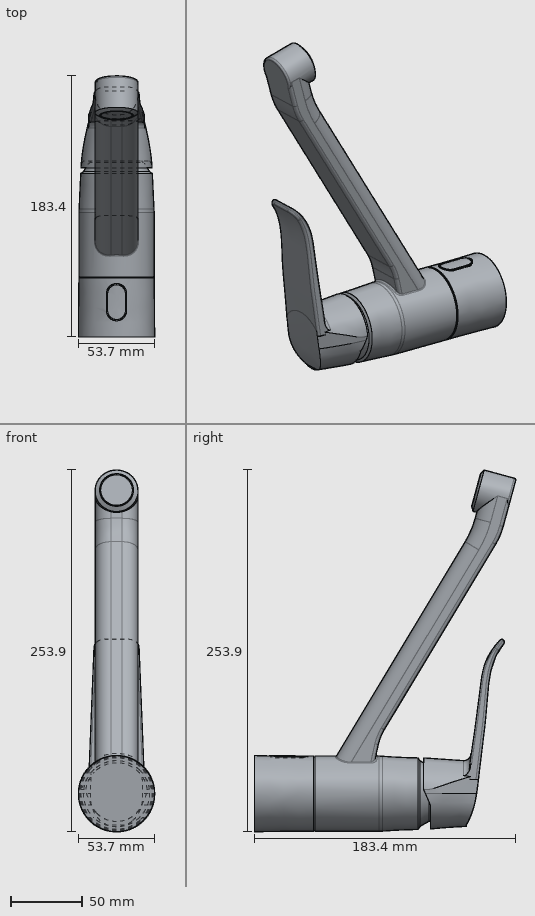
import cadquery as cq
import math


CLEARANCE = 1.0

FRONT_RADIUS = 26.86
BARREL_RADIUS = 26.5
JOINT_Y = 42.0
JOINT_WIDTH = 0.8
JOINT_DEPTH = 0.6
BARREL_END_Y = 87.5
BAND_END_Y = 90.0
BAND_END_RADIUS = 26.35
SHOULDER_Y = 114.9
SHOULDER_RADIUS = 25.2
NECK_START_Y = 116.2
NECK_START_RADIUS = 23.2
NECK_END_Y = 122.5
NECK_END_RADIUS = 19.5
CORE_END_Y = 135.0

BUTTON_Y = 24.6
BUTTON_LENGTH = 26.2
BUTTON_WIDTH = 14.2
BUTTON_GROOVE = 0.9
BUTTON_GROOVE_DEPTH = 0.6

SPOUT_WIDTH = 30.2
SPOUT_LEAN = 31.0
SPOUT_FRONT_RADIUS = 11.2
SPOUT_BACK_RADIUS = 2.5
SPOUT_ROOT_Z = 12.0
SPOUT_ROOT_BACK_Y = 82.0
ROOT_BEND_Z = 40.0
BACK_BEND_DROP = 26.6
FRONT_BEND_DROP = 28.3
FRONT_BEND_INSET = 2.7
BACK_BEND_RADIUS = 50.0
FRONT_BEND_RADIUS = 65.0
ROOT_BEND_RADIUS = 35.0
ROOT_FILLET = 1.0
ROOT_SEAM_LOW_Z = 20.0
HEAD_TILT = 15.2
HEAD_RADIUS = 15.1
HEAD_LENGTH = 23.3
HEAD_FRONT_Y = 157.3
HEAD_FRONT_Z = 212.5
HEAD_BACK_ROUND = 1.5
OUTLET_RIM_RADIUS = 11.9
OUTLET_RADIUS = 11.1
OUTLET_PROJECTION = 1.9
OUTLET_RECESS = 0.4

CAP_START_Y = 118.7
CAP_START_RADIUS = 25.2
CAP_END_Y = 162.0
CAP_END_RADIUS = 22.2
CAP_HALF = CAP_START_RADIUS + CLEARANCE
CAP_SIDE = [(CAP_START_Y, 25.0), (132.0, 23.6), (147.0, 20.6), (CAP_END_Y, 16.8)]
SKIRT_Y = 123.5
SKIRT_Z = -8.0
CAP_EDGE_Z = 3.0
LEVER_ROOT_Y = 151.8
LEVER_ROOT_OVERLAP = 1.0
LEVER_ROOT_Z = 10.0
LEVER_ROOT_HALF = 19.6
LEVER_TIP_Z = 110.0
LEVER_TIP_HALF = 15.6
LEVER_CORNER = 8.0
LEVER_ROOT_FILLET = 5.0
LEVER_FRONT_ROUND = 1.2
LEVER_BACK_ROUND = 1.8
LEVER_BACK = [
    (148.8, -21.8), (154.6, -7.0), (157.5, 12.0), (159.7, 31.1), (162.3, 52.3),
    (164.2, 75.6), (169.6, 96.8), (176.2, 106.4),
]
LEVER_FRONT = [
    (173.6, 108.8), (167.2, 101.6), (161.6, 91.0), (158.3, 73.5), (154.1, 41.7), (151.5, 23.7),
    (150.0, 10.0),
]


def make_body():
    """Turned barrel with the narrow joint groove around it."""
    body = (
        cq.Workplane("XY")
        .polyline([
            (0, 0),
            (FRONT_RADIUS, 0),
            (BARREL_RADIUS, JOINT_Y),
            (BARREL_RADIUS, BARREL_END_Y),
            (BAND_END_RADIUS, BAND_END_Y),
            (SHOULDER_RADIUS, SHOULDER_Y),
            (NECK_START_RADIUS, NECK_START_Y),
            (NECK_END_RADIUS, NECK_END_Y),
            (NECK_END_RADIUS, CORE_END_Y),
            (0, CORE_END_Y),
        ])
        .close()
        .revolve(360, (0, 0), (0, 1))
    )
    joint = (
        cq.Workplane("XZ", origin=(0, JOINT_Y + JOINT_WIDTH / 2, 0))
        .circle(FRONT_RADIUS + CLEARANCE)
        .circle(BARREL_RADIUS - JOINT_DEPTH)
        .extrude(JOINT_WIDTH)
    )
    return body.cut(joint)


def make_button_groove():
    """Oval ring groove cut into the top of the front section."""
    top = FRONT_RADIUS + CLEARANCE
    centre = cq.Workplane("XY", origin=(0, BUTTON_Y, 0))
    outer = centre.slot2D(BUTTON_LENGTH, BUTTON_WIDTH, 90).extrude(top)
    inner_length = BUTTON_LENGTH - 2 * BUTTON_GROOVE
    inner_width = BUTTON_WIDTH - 2 * BUTTON_GROOVE
    inner = centre.slot2D(inner_length, inner_width, 90).extrude(top)
    core = cq.Workplane("XZ").circle(BARREL_RADIUS - BUTTON_GROOVE_DEPTH).extrude(-JOINT_Y)
    return outer.cut(inner).cut(core)


def head_point(along, up):
    """(Y, Z) of a point measured from the outlet centre, along the head axis (backwards) and across it."""
    tilt = math.radians(HEAD_TILT)
    y = HEAD_FRONT_Y + along * math.cos(tilt) + up * math.sin(tilt)
    z = HEAD_FRONT_Z - along * math.sin(tilt) + up * math.cos(tilt)
    return y, z


def make_head():
    """Outlet head: a tilted cylinder with a bevelled nose and a shallow round recess."""
    y, z = head_point(0, 0)
    tilt = math.radians(HEAD_TILT)
    outlet = cq.Plane((0, y, z), (1, 0, 0), (0, -math.cos(tilt), math.sin(tilt)))
    barrel = cq.Workplane(outlet).circle(HEAD_RADIUS).extrude(-HEAD_LENGTH)
    barrel = barrel.faces(">Y").edges().fillet(HEAD_BACK_ROUND)
    nose_angle = math.degrees(math.atan((HEAD_RADIUS - OUTLET_RIM_RADIUS) / OUTLET_PROJECTION))
    nose = cq.Workplane(outlet).circle(HEAD_RADIUS).extrude(OUTLET_PROJECTION, taper=nose_angle)
    recess = (
        cq.Workplane(outlet)
        .workplane(offset=OUTLET_PROJECTION)
        .circle(OUTLET_RADIUS)
        .extrude(-OUTLET_RECESS)
    )
    return barrel.union(nose).cut(recess)


def make_arm():
    """Leaning arm with a flat strip between rounded front corners."""
    slope = math.tan(math.radians(SPOUT_LEAN))
    back_bend = head_point(HEAD_LENGTH, -BACK_BEND_DROP)
    front_bend = head_point(FRONT_BEND_INSET, -FRONT_BEND_DROP)
    root_bend = (back_bend[0] - slope * (back_bend[1] - ROOT_BEND_Z), ROOT_BEND_Z)
    root_front = (front_bend[0] - slope * (front_bend[1] - SPOUT_ROOT_Z), SPOUT_ROOT_Z)
    arm = (
        cq.Workplane("YZ", origin=(-SPOUT_WIDTH / 2, 0, 0))
        .polyline([
            (SPOUT_ROOT_BACK_Y, SPOUT_ROOT_Z),
            root_bend,
            back_bend,
            head_point(HEAD_LENGTH, 0),
            head_point(FRONT_BEND_INSET, 0),
            front_bend,
            root_front,
        ])
        .close()
        .extrude(SPOUT_WIDTH)
    )
    bends = [
        (back_bend, BACK_BEND_RADIUS),
        (root_bend, ROOT_BEND_RADIUS),
        (front_bend, FRONT_BEND_RADIUS),
    ]
    for place, radius in bends:
        arm = arm.edges("|X").edges(cq.NearestToPointSelector((0, *place))).fillet(radius)

    straight_sides = [
        (front_bend, root_front, SPOUT_FRONT_RADIUS),
        (back_bend, root_bend, SPOUT_BACK_RADIUS),
    ]
    for upper, lower, radius in straight_sides:
        middle = ((upper[0] + lower[0]) / 2, (upper[1] + lower[1]) / 2)
        right = cq.NearestToPointSelector((SPOUT_WIDTH / 2, *middle))
        left = cq.NearestToPointSelector((-SPOUT_WIDTH / 2, *middle))
        arm = arm.edges(right + left).fillet(radius)
    return arm


def cap_radius(y):
    """Radius of the conical cap at distance y from the front face."""
    taper = (CAP_START_RADIUS - CAP_END_RADIUS) / (CAP_END_Y - CAP_START_Y)
    return CAP_START_RADIUS - taper * (y - CAP_START_Y)


def make_cap_top():
    """Upper half of the cap: the cone trimmed by upright curved sides."""
    cone = (
        cq.Workplane("XY")
        .polyline([
            (0, CAP_START_Y),
            (CAP_START_RADIUS, CAP_START_Y),
            (CAP_END_RADIUS, CAP_END_Y),
            (0, CAP_END_Y),
        ])
        .close()
        .revolve(360, (0, 0), (0, 1))
    )
    right = [(half, y) for y, half in CAP_SIDE]
    left = [(-half, y) for y, half in reversed(CAP_SIDE)]
    plan = (
        cq.Workplane("XY")
        .moveTo(*right[0])
        .spline(right[1:], includeCurrent=True)
        .lineTo(*left[0])
        .spline(left[1:], includeCurrent=True)
        .close()
        .extrude(CAP_HALF)
    )
    return cone.intersect(plan)


def make_cap_bottom():
    """Lower half of the cap: half-ellipse sections that narrow towards the lever."""
    sections = []
    for y, half in CAP_SIDE:
        depth = cap_radius(y)
        arc = cq.Edge.makeEllipse(
            half, depth, cq.Vector(0, y, 0), cq.Vector(0, -1, 0), cq.Vector(1, 0, 0), 180, 360
        )
        chord = cq.Edge.makeLine(arc.endPoint(), arc.startPoint())
        sections.append(cq.Wire.assembleEdges([arc, chord]))
    return cq.Workplane(cq.Solid.makeLoft(sections))


def make_cap():
    """Both halves of the cap, trimmed by the skirt in front and the lever back behind."""
    side = (
        cq.Workplane("YZ", origin=(-CAP_HALF, 0, 0))
        .moveTo(CAP_START_Y, LEVER_BACK[-1][1])
        .lineTo(CAP_START_Y, CAP_EDGE_Z)
        .lineTo(SKIRT_Y, SKIRT_Z)
        .lineTo(SKIRT_Y, -CAP_HALF)
        .lineTo(LEVER_BACK[0][0], -CAP_HALF)
        .lineTo(*LEVER_BACK[0])
        .spline(LEVER_BACK[1:], includeCurrent=True)
        .close()
        .extrude(2 * CAP_HALF)
    )
    return make_cap_top().intersect(side).union(make_cap_bottom().intersect(side))


def make_lever_outline():
    """Tapered block that bounds the lever on both sides."""
    return (
        cq.Workplane("XZ")
        .polyline([
            (-LEVER_ROOT_HALF, LEVER_ROOT_Z),
            (LEVER_ROOT_HALF, LEVER_ROOT_Z),
            (LEVER_TIP_HALF, LEVER_TIP_Z),
            (-LEVER_TIP_HALF, LEVER_TIP_Z),
        ])
        .close()
        .extrude(-2 * CAP_START_Y)
    )


def make_lever():
    """Curved lever blade with rounded tip corners and edges."""
    side = (
        cq.Workplane("YZ", origin=(-CAP_HALF, 0, 0))
        .moveTo(*LEVER_BACK[0])
        .spline(LEVER_BACK[1:], includeCurrent=True)
        .lineTo(*LEVER_FRONT[0])
        .spline(LEVER_FRONT[1:], includeCurrent=True)
        .close()
        .extrude(2 * CAP_HALF)
    )
    lever = side.intersect(make_lever_outline())
    tip_y = (LEVER_BACK[-1][0] + LEVER_FRONT[0][0]) / 2
    tip_z = (LEVER_BACK[-1][1] + LEVER_FRONT[0][1]) / 2
    right_corner = cq.NearestToPointSelector((LEVER_TIP_HALF, tip_y, tip_z))
    left_corner = cq.NearestToPointSelector((-LEVER_TIP_HALF, tip_y, tip_z))
    lever = lever.edges(right_corner + left_corner).fillet(LEVER_CORNER)
    front_face = cq.NearestToPointSelector((0, *LEVER_FRONT[3]))
    lever = lever.faces(front_face).edges("not <Z").fillet(LEVER_FRONT_ROUND)
    back_face = cq.NearestToPointSelector((0, *LEVER_BACK[4]))
    return lever.faces(back_face).edges("not <Z").fillet(LEVER_BACK_ROUND)


def make_lever_root():
    """Concave flare that blends the top of the cap into the lever."""
    start_y = LEVER_ROOT_Y - LEVER_ROOT_FILLET
    start_radius = cap_radius(start_y)
    middle = LEVER_ROOT_FILLET * math.sqrt(0.5)
    flare = (
        cq.Workplane("XY")
        .moveTo(0, start_y)
        .lineTo(start_radius, start_y)
        .threePointArc(
            (start_radius + LEVER_ROOT_FILLET - middle, start_y + middle),
            (start_radius + LEVER_ROOT_FILLET, LEVER_ROOT_Y),
        )
        .lineTo(start_radius + LEVER_ROOT_FILLET, LEVER_ROOT_Y + LEVER_ROOT_OVERLAP)
        .lineTo(0, LEVER_ROOT_Y + LEVER_ROOT_OVERLAP)
        .close()
        .revolve(360, (0, 0), (0, 1))
    )
    return flare.intersect(make_lever_outline())


def join_arm(body):
    """Body with the spout arm standing on it, joined by a small fillet all round."""
    joined = body.union(make_arm())
    half = SPOUT_WIDTH / 2 + CLEARANCE
    low_corner = (-half, JOINT_Y + JOINT_WIDTH + CLEARANCE, ROOT_SEAM_LOW_Z)
    high_corner = (half, BARREL_END_Y - CLEARANCE, BARREL_RADIUS + CLEARANCE)
    seam_zone = cq.selectors.BoxSelector(low_corner, high_corner)
    return joined.edges(seam_zone).fillet(ROOT_FILLET)


body = make_body().cut(make_button_groove())
handle = make_cap().union(make_lever_root()).union(make_lever())
result = join_arm(body).union(make_head()).union(handle)